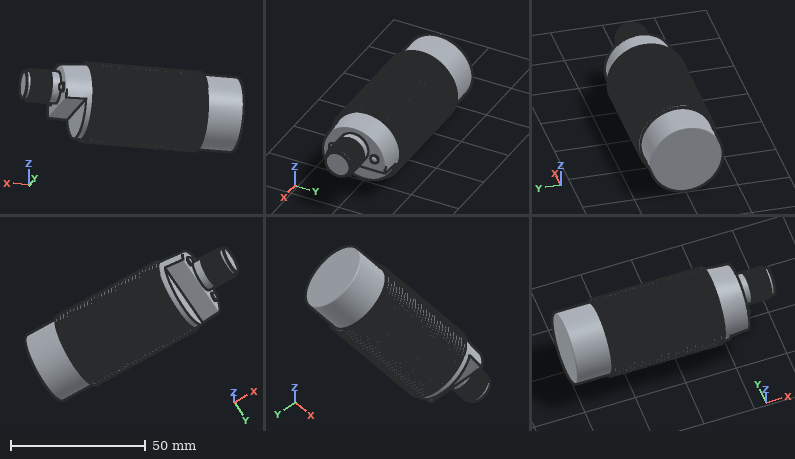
import cadquery as cq
import math

SENSING_CAP_END = 13.9
THREAD_END = 58.4
TAPER_START = 59.4
FLANGE_END = 61.0
HOUSING_END = 68.65
NECK_END = 72.2
PLUG_THREAD_END = 79.9
TOTAL_LENGTH = 81.7

BARREL_RADIUS = 14.05
SENSING_FACE_FILLET = 0.5
THREAD_RADIUS = 14.925
THREAD_PITCH = 1.5
THREAD_START_ANGLE = 10.0

HOUSING_END_RADIUS = 13.25
LEDGE_Z = -3.1
HOUSING_END_FILLET = 0.25

PLUG_Z = 4.85
NECK_RADIUS = 6.05
PLUG_CORE_RADIUS = 5.35
PLUG_PITCH = 1.0
PLUG_THREAD_START_ANGLE = -15.0
PLUG_END_CHAMFER = 0.3

LIGHT_RADIUS = 1.65
LIGHT_RIM = 0.4
LIGHT_HEIGHT = 1.5
LIGHT_Y = 8.7
LIGHT_Z = 2.3

ROOT_WIDTH_RATIO = 0.9
CREST_WIDTH_RATIO = 0.12
ROOT_EMBED = 0.1


def cylinder(start, end, radius):
    """Solid cylinder along X between two stations."""
    return cq.Workplane("YZ", origin=(start, 0, 0)).circle(radius).extrude(end - start)


def thread_ridge(start, end, core_radius, crest_radius, pitch, start_angle):
    """Right-handed helical ridge about X, cut square at start and end.

    The helix begins half a root width before start, at start_angle from +Y towards +Z.
    """
    root_radius = core_radius - ROOT_EMBED
    half_root = pitch * ROOT_WIDTH_RATIO / 2
    half_crest = pitch * CREST_WIDTH_RATIO / 2
    length = end - start + 2 * half_root
    helix = cq.Wire.makeHelix(pitch, length, root_radius)
    profile = cq.Workplane("XZ").polyline([
        (root_radius, -half_root),
        (crest_radius, -half_crest),
        (crest_radius, half_crest),
        (root_radius, half_root),
    ]).close()
    ridge = profile.sweep(cq.Workplane(obj=helix), isFrenet=True)
    ridge = ridge.rotate((0, 0, 0), (1, 1, 1), 120)
    ridge = ridge.rotate((0, 0, 0), (1, 0, 0), start_angle)
    ridge = ridge.translate((start - half_root, 0, 0))
    return ridge.intersect(cylinder(start, end, crest_radius + ROOT_EMBED))


def barrel():
    """Sensing cap and threaded barrel up to the start of the taper."""
    core = cylinder(0, TAPER_START, BARREL_RADIUS).faces("<X").edges().fillet(SENSING_FACE_FILLET)
    ridge = thread_ridge(SENSING_CAP_END, THREAD_END, BARREL_RADIUS, THREAD_RADIUS,
                         THREAD_PITCH, THREAD_START_ANGLE)
    return core.union(ridge)


def rear_housing():
    """Tapered rear housing with the lower part removed behind the flange."""
    taper = (
        cq.Workplane("YZ", origin=(TAPER_START, 0, 0))
        .circle(BARREL_RADIUS)
        .workplane(offset=HOUSING_END - TAPER_START)
        .circle(HOUSING_END_RADIUS)
        .loft()
    )
    cutaway = cq.Workplane("XY").box(
        HOUSING_END - FLANGE_END, 2 * BARREL_RADIUS, 2 * BARREL_RADIUS, centered=(False, True, False)
    ).translate((FLANGE_END, 0, LEDGE_Z - 2 * BARREL_RADIUS))
    return taper.cut(cutaway).faces(">X").edges().fillet(HOUSING_END_FILLET)


def plug():
    """Threaded connector plug with a plain neck."""
    neck = cylinder(HOUSING_END, NECK_END, NECK_RADIUS)
    core = cylinder(NECK_END, TOTAL_LENGTH, PLUG_CORE_RADIUS).faces(">X").chamfer(PLUG_END_CHAMFER)
    ridge = thread_ridge(NECK_END, PLUG_THREAD_END, PLUG_CORE_RADIUS, NECK_RADIUS,
                         PLUG_PITCH, PLUG_THREAD_START_ANGLE)
    return neck.union(core).union(ridge).translate((0, 0, PLUG_Z))


def pilot_light(y):
    """Short cylinder closed by a spherical dome."""
    dome_height = LIGHT_HEIGHT - LIGHT_RIM
    arc_angle = math.atan(dome_height / LIGHT_RADIUS)
    dome_radius = LIGHT_RADIUS / math.sin(2 * arc_angle)
    arc_middle = (
        dome_radius * math.sin(arc_angle),
        LIGHT_HEIGHT - dome_radius * (1 - math.cos(arc_angle)),
    )
    return (
        cq.Workplane("XY")
        .lineTo(LIGHT_RADIUS, 0)
        .lineTo(LIGHT_RADIUS, LIGHT_RIM)
        .threePointArc(arc_middle, (0, LIGHT_HEIGHT))
        .close()
        .revolve(360, (0, 0, 0), (0, 1, 0))
        .rotate((0, 0, 0), (0, 0, 1), -90)
        .translate((HOUSING_END, y, LIGHT_Z))
    )


result = barrel().union(rear_housing()).union(plug())
for side in (-1, 1):
    result = result.union(pilot_light(side * LIGHT_Y))